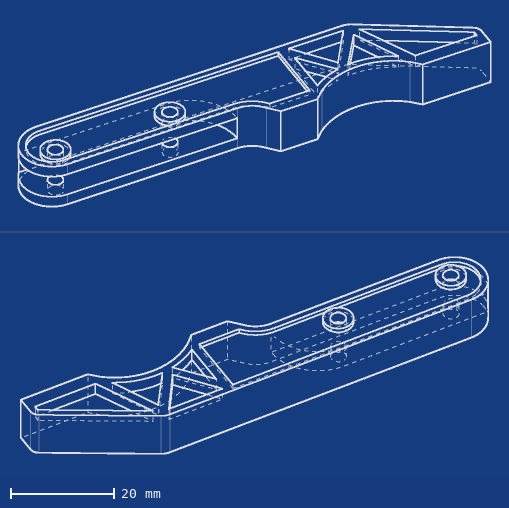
import cadquery as cq
import math

length = 96.5
width = 17.8
thickness = 10.0
arm_width = 13.0
end_radius = arm_width / 2
wall = 1.4
inner_right = width - 3.1

tip_angle = math.radians(60)
tip_start_y = 74.3
tip_corner_x = (length - tip_start_y) / math.tan(tip_angle)
tip_radius = 1.9
bend_radius = 3.5

scallop_radius = 15.15
scallop_bottom_x = 12.45
scallop_center = (scallop_bottom_x + scallop_radius, 70.2)
scallop_half_height = 9.65
scallop_mouth_half_height = 11.5

shoulder_y = 50.7
relief_start_y = 43.6
relief_radius = 6.3
relief_angle = math.radians(53)
relief_center = (arm_width + relief_radius, relief_start_y)

main_pocket_top = 58.6
main_pocket_depth = 1.0
truss_pocket_depth = 2.7
truss_floor_y = 60.6
tip_pocket = [(13.6, length - wall), (inner_right, length - wall), (inner_right, 81.6), (2.5, 75.8)]
left_pocket = [(wall, 72.8), (9.65, 67.4), (wall, 60.9)]
curved_pockets = [
    ((3.5, 74.0), 78.6, 68.8),
    ((4.4, truss_floor_y), 66.4, truss_floor_y),
]

hole_radius = 1.5
boss_radius = 3.0
hole_x = 8.0
hole_spacing = 25.0
hole_places = [(hole_x, end_radius + i * hole_spacing) for i in range(2)]

slot_height = 5.0
slot_left = 2.7
slot_end_radius = arm_width - slot_left
slot_end_y = relief_start_y


def scallop_point(y, offset=0.0):
    """Point at height y on the scallop arc, moved inward by offset."""
    radius = scallop_radius + offset
    rise = y - scallop_center[1]
    return (scallop_center[0] - math.sqrt(radius**2 - rise**2), y)


def relief_point(angle, offset=0.0):
    """Point on the relief arc, measured up from its lower tangent point."""
    radius = relief_radius + offset
    return (relief_center[0] - radius * math.cos(angle), relief_center[1] + radius * math.sin(angle))


def cut_from_top(profile, depth):
    """Solid under a closed profile, reaching down from the top face."""
    return profile.close().extrude(-depth)


def top_plane():
    return cq.Workplane("XY", origin=(0, 0, thickness))


def make_body():
    scallop_y = scallop_center[1]
    body = (
        cq.Workplane("XY")
        .moveTo(0, end_radius)
        .threePointArc((end_radius, 0), (arm_width, end_radius))
        .lineTo(arm_width, relief_start_y)
        .threePointArc(relief_point(relief_angle / 2), relief_point(relief_angle))
        .lineTo(width, shoulder_y)
        .lineTo(width, scallop_y - scallop_mouth_half_height)
        .lineTo(*scallop_point(scallop_y - scallop_half_height))
        .threePointArc(scallop_point(scallop_y), scallop_point(scallop_y + scallop_half_height))
        .lineTo(width, scallop_y + scallop_mouth_half_height)
        .lineTo(width, length)
        .lineTo(tip_corner_x, length)
        .lineTo(0, tip_start_y)
        .close()
        .extrude(thickness)
    )
    middle = thickness / 2
    body = body.edges(cq.NearestToPointSelector((tip_corner_x, length, middle))).fillet(tip_radius)
    return body.edges(cq.NearestToPointSelector((0, tip_start_y, middle))).fillet(bend_radius)


def make_main_pocket():
    inner_arm_right = arm_width - wall
    relief_end = math.acos((relief_center[0] - inner_right) / (relief_radius + wall))
    profile = (
        top_plane()
        .moveTo(wall, end_radius)
        .threePointArc((end_radius, wall), (inner_arm_right, end_radius))
        .lineTo(inner_arm_right, relief_start_y)
        .threePointArc(relief_point(relief_end / 2, wall), relief_point(relief_end, wall))
        .lineTo(inner_right, main_pocket_top)
        .lineTo(wall, main_pocket_top)
    )
    bosses = top_plane().pushPoints(hole_places).circle(boss_radius).extrude(-main_pocket_depth)
    return cut_from_top(profile, main_pocket_depth).cut(bosses)


def make_truss_pockets():
    pockets = cut_from_top(top_plane().polyline(tip_pocket), truss_pocket_depth)
    pockets = pockets.union(cut_from_top(top_plane().polyline(left_pocket), truss_pocket_depth))

    for corner, arc_top, arc_bottom in curved_pockets:
        profile = (
            top_plane()
            .moveTo(*corner)
            .lineTo(*scallop_point(arc_top, wall))
            .threePointArc(
                scallop_point((arc_top + arc_bottom) / 2, wall),
                scallop_point(arc_bottom, wall),
            )
        )
        pockets = pockets.union(cut_from_top(profile, truss_pocket_depth))
    return pockets


def make_slot():
    corner_turn = slot_end_radius * math.sqrt(0.5)
    arc_start_y = slot_end_y - slot_end_radius
    return (
        cq.Workplane("XY", origin=(0, 0, (thickness - slot_height) / 2))
        .moveTo(slot_left, 0)
        .lineTo(slot_left, arc_start_y)
        .threePointArc(
            (arm_width - corner_turn, arc_start_y + corner_turn),
            (arm_width, slot_end_y),
        )
        .lineTo(arm_width, 0)
        .close()
        .extrude(slot_height)
    )


holes = cq.Workplane("XY").pushPoints(hole_places).circle(hole_radius).extrude(thickness)

result = make_body().cut(make_main_pocket()).cut(make_truss_pockets()).cut(make_slot()).cut(holes)